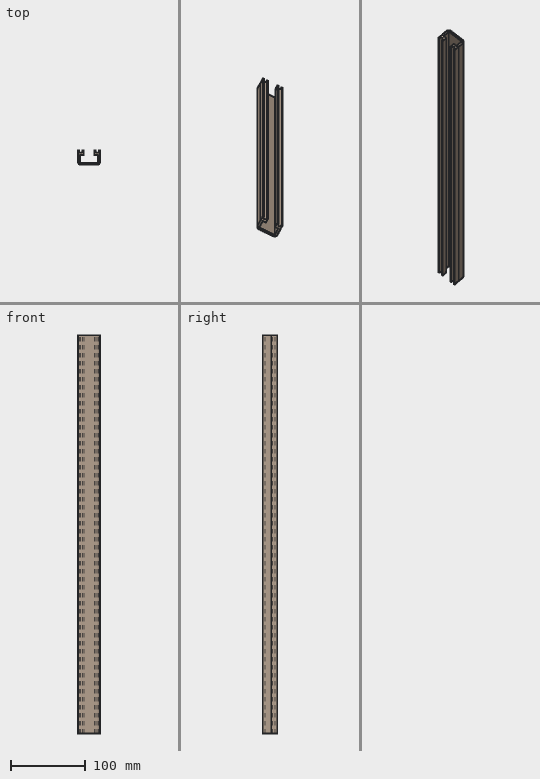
import cadquery as cq

length = 534.0
width = 30.0
depth = 20.0

wall = 3.0
floor = 2.5
corner_radius = 4.0

lip_width = 8.0
lip_height = 7.0
slot_width = 4.5
slot_depth = 3.45
slot_wall = (lip_width - slot_width) / 2
slot_radius = 1.85

groove_depth = 0.2
groove_start = 1.5
groove_ramp = 1.35
groove_end = 8.0

half_width = width / 2
half_depth = depth / 2


def upright_box(x_min, x_max, y_min, y_max):
    """Full-length box filling a rectangle of the cross-section."""
    return (
        cq.Workplane("XY")
        .box(x_max - x_min, y_max - y_min, length, centered=False)
        .translate((x_min, y_min, -length / 2))
    )


rail = upright_box(-half_width, half_width, -half_depth, half_depth)
rail = rail.edges("|Z and <Y").fillet(corner_radius)

lip_bottom = half_depth - lip_height
inner_half_width = half_width - wall
opening_half_width = half_width - lip_width
rail = rail.cut(upright_box(-inner_half_width, inner_half_width, -half_depth + floor, lip_bottom))
rail = rail.cut(upright_box(-opening_half_width, opening_half_width, lip_bottom, half_depth))

slot_start = opening_half_width + slot_wall
slot = upright_box(slot_start, slot_start + slot_width, half_depth - slot_depth, half_depth)
slot = slot.edges("|Z and <Y").fillet(slot_radius)
rail = rail.cut(slot).cut(slot.mirror("YZ"))

groove_top = half_depth - groove_start
groove_bottom = half_depth - groove_end
groove_floor = half_width - groove_depth
groove = (
    cq.Workplane("XY", origin=(0, 0, -length / 2))
    .moveTo(half_width, groove_top)
    .lineTo(groove_floor, groove_top - groove_ramp)
    .lineTo(groove_floor, groove_bottom)
    .lineTo(half_width, groove_bottom)
    .close()
    .extrude(length)
)
rail = rail.cut(groove).cut(groove.mirror("YZ"))

result = rail